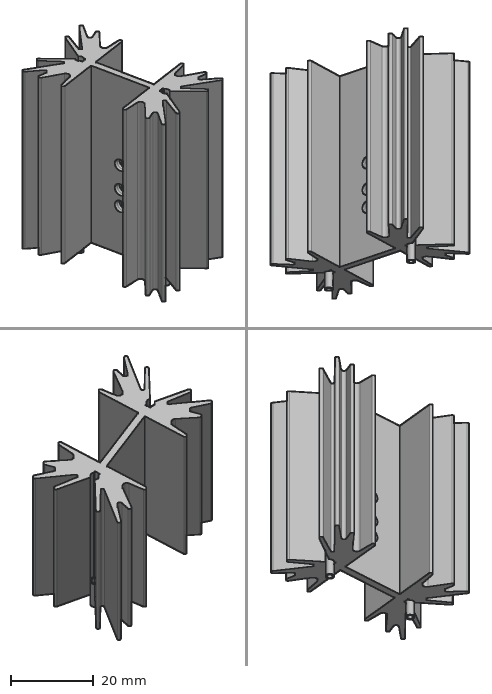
import cadquery as cq
import math

total_width = 42.0
total_depth = 25.0
total_height = 55.3

pin_diameter = 2.05
pin_bore = 1.4
pin_spacing = 25.3
pin_protrusion = 4.35
pin_insertion = 5.6
pin_length = pin_protrusion + pin_insertion

sink_height = total_height - pin_protrusion
web_thickness = 1.9
web_length = 17.15

pin_slot_width = 1.3
pin_slot_floor = 11.4

web_hole_diameter = 3.2
web_hole_heights = (sink_height / 2, 18.4, 13.6)

tip_radius = 0.5
tip_x = total_width / 2 - tip_radius
tip_y = total_depth / 2 - tip_radius
side_tip_y = 6.05
middle_tip_x = 15.75
plate_tip_x = web_length / 2 + tip_radius
side_valley = (15.05, 3.8, -0.45)
corner_valley = (16.3, 9.6, -0.65)
plate_valley = (11.0, 8.2, -1.05)
notch_mouth_x = 13.5

quarter_corners = [
    (notch_mouth_x, pin_slot_width / 2, 0),
    (tip_x, side_tip_y, tip_radius),
    side_valley,
    (tip_x, tip_y, tip_radius),
    corner_valley,
    (middle_tip_x, tip_y, tip_radius),
    plate_valley,
    (plate_tip_x, tip_y, tip_radius),
    (web_length / 2, web_thickness / 2, 0),
]


def mirror_to_full_loop(quarter):
    """Mirror the quarter about both axes into one counter-clockwise loop."""
    left = [(-x, y, radius) for x, y, radius in reversed(quarter)]
    upper_half = quarter + left
    lower_half = [(x, -y, radius) for x, y, radius in reversed(upper_half)]
    return upper_half + lower_half


def tangent_heading(start, end):
    """Heading of the straight line that touches two consecutive corner circles."""
    dx = end[0] - start[0]
    dy = end[1] - start[1]
    lean = math.asin((end[2] - start[2]) / math.hypot(dx, dy))
    return math.atan2(dy, dx) - lean


def point_on_corner(corner, heading):
    """Point where the outline has the given heading on a corner circle."""
    x, y, radius = corner
    return (x + radius * math.sin(heading), y - radius * math.cos(heading))


def rounded_outline(corners):
    """Closed outline of tangent lines and arcs, starting and ending at a sharp first corner."""
    outline = cq.Workplane("XY").moveTo(*corners[0][:2])
    following = corners[2:] + corners[:1]
    for previous, corner, after in zip(corners, corners[1:], following):
        heading_in = tangent_heading(previous, corner)
        heading_out = tangent_heading(corner, after)
        outline = outline.lineTo(*point_on_corner(corner, heading_in))
        if corner[2] != 0:
            turn = math.remainder(heading_out - heading_in, 2 * math.pi)
            middle = point_on_corner(corner, heading_in + turn / 2)
            outline = outline.threePointArc(middle, point_on_corner(corner, heading_out))
    return outline.close()


def make_heat_sink():
    sink = rounded_outline(mirror_to_full_loop(quarter_corners)).extrude(sink_height)

    slot_length = notch_mouth_x - pin_slot_floor
    slot_centre = (notch_mouth_x + pin_slot_floor) / 2
    for side in (-1, 1):
        pin_hole = cq.Workplane("XY").center(side * pin_spacing / 2, 0).circle(pin_diameter / 2)
        sink = sink.cut(pin_hole.extrude(sink_height))
        pin_slot = cq.Workplane("XY").center(side * slot_centre, 0).rect(slot_length, pin_slot_width)
        sink = sink.cut(pin_slot.extrude(sink_height))

    hole_centres = [(0, height) for height in web_hole_heights]
    web_holes = cq.Workplane("XZ").pushPoints(hole_centres).circle(web_hole_diameter / 2)
    return sink.cut(web_holes.extrude(web_thickness, both=True))


def make_pin(x):
    ring = cq.Workplane("XY", origin=(x, 0, -pin_protrusion)).circle(pin_diameter / 2).circle(pin_bore / 2)
    return ring.extrude(pin_length)


heat_sink = make_heat_sink()
pins = [make_pin(side * pin_spacing / 2) for side in (-1, 1)]

result = cq.Compound.makeCompound([heat_sink.val(), *[pin.val() for pin in pins]])